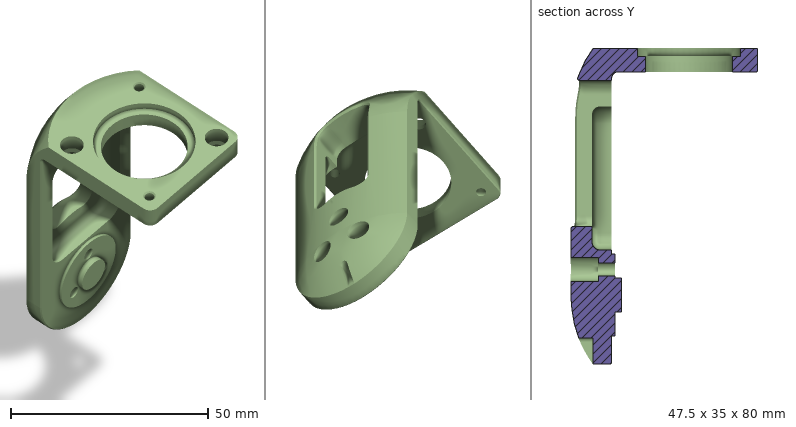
import cadquery as cq
import math


WIDTH = 35.0
HEIGHT = 80.0
HALF_WIDTH = WIDTH / 2
DOME_RADIUS = 30.0
LOWER_CENTER_Z = HALF_WIDTH
UPPER_CENTER_Z = HEIGHT - HALF_WIDTH

WALL_INNER_X = -19.5
FLANGE_THICKNESS = 6.0
FLANGE_BOTTOM_Z = HEIGHT - FLANGE_THICKNESS
FLANGE_CORNER_RADIUS = 2.5
INNER_BEND_RADIUS = 1.5
INNER_EDGE_CHAMFER = 0.3

BORE_DIAMETER = 22.0
BEARING_SEAT_DIAMETER = 26.0
BEARING_SEAT_DEPTH = 2.0
FLANGE_SCREW_OFFSET = 13.0
TAPPED_HOLE_OFFSET = 13.25
TAPPED_HOLE_DIAMETER = 2.5
TAPPED_HOLE_CHAMFER = 0.35
CHAMFER_CONE_ANGLE = 90.0

SCREW_DIAMETER = 3.4
SCREW_HEAD_DIAMETER = 6.0
FLANGE_HEAD_DEPTH = 4.5
WALL_SCREW_DIAMETER = 3.2
WALL_SCREW_CIRCLE_RADIUS = 6.5
WALL_SCREW_COUNT = 3
WALL_HEAD_SEAT_X = -23.0

PAD_DIAMETER = 21.0
PAD_HEIGHT = 0.8
SPIGOT_DIAMETER = 8.8
SPIGOT_HEIGHT = 1.7

WINDOW_WIDTH = 16.0
WINDOW_BOTTOM_RADIUS = 17.5
WINDOW_TOP_RADIUS = 54.3
WINDOW_CORNER_RADIUS = 3.0
WINDOW_CHAMFER = 0.6
SELECTION_MARGIN = 1.0

POCKET_WIDTH = 26.0
POCKET_BOTTOM_Z = 29.0
POCKET_TOP_Z = 65.2
POCKET_FLOOR_X = -24.5
POCKET_CORNER_RADIUS = 4.0
POCKET_FLOOR_FILLET = 2.0

NOTCH_WIDTH = 2.0
NOTCH_TOP_Z = 6.6
NOTCH_FLOOR_X = -math.sqrt(DOME_RADIUS**2 - HALF_WIDTH**2)


def cylinder_x(diameter, x_start, x_end, y, z):
    """Solid cylinder along X."""
    plane = cq.Workplane("YZ", origin=(x_start, y, z))
    return plane.circle(diameter / 2).extrude(x_end - x_start)


def make_bracket():
    """Wall with a round foot and a square flange, bent at a right angle."""
    wall_depth = WALL_INNER_X + DOME_RADIUS
    wall = (
        cq.Workplane("YZ", origin=(-DOME_RADIUS, 0, 0))
        .moveTo(-HALF_WIDTH, HEIGHT)
        .lineTo(-HALF_WIDTH, LOWER_CENTER_Z)
        .threePointArc((0, 0), (HALF_WIDTH, LOWER_CENTER_Z))
        .lineTo(HALF_WIDTH, HEIGHT)
        .close()
        .extrude(wall_depth)
    )
    flange = (
        cq.Workplane("XY", origin=(0, 0, FLANGE_BOTTOM_Z))
        .moveTo((HALF_WIDTH - DOME_RADIUS) / 2, 0)
        .rect(HALF_WIDTH + DOME_RADIUS, WIDTH)
        .extrude(FLANGE_THICKNESS)
        .edges("|Z and >X")
        .fillet(FLANGE_CORNER_RADIUS)
    )
    bend_edge = cq.selectors.NearestToPointSelector((WALL_INNER_X, 0, FLANGE_BOTTOM_Z))
    bracket = wall.union(flange).edges(bend_edge).fillet(INNER_BEND_RADIUS)
    inner_face = cq.selectors.NearestToPointSelector((WALL_INNER_X, 0, HEIGHT / 2))
    return bracket.faces(inner_face).edges("|Z").chamfer(INNER_EDGE_CHAMFER)


def make_dome():
    """Upright capsule whose surface rounds the outside of the wall."""
    dome = (
        cq.Workplane("XY", origin=(0, 0, LOWER_CENTER_Z))
        .circle(DOME_RADIUS)
        .extrude(UPPER_CENTER_Z - LOWER_CENTER_Z)
    )
    ball = cq.Workplane("XY").sphere(DOME_RADIUS)
    for center_z in (LOWER_CENTER_Z, UPPER_CENTER_Z):
        dome = dome.union(ball.translate((0, 0, center_z)))
    return dome


def window_arc_z(radius, y):
    """Height of a window end arc, which is centred on the middle of the round foot."""
    return LOWER_CENTER_Z + math.sqrt(radius**2 - y**2)


def cut_window(body):
    """Opening through the wall, with arched ends and a chamfered outer rim."""
    half = WINDOW_WIDTH / 2
    bottom_z = window_arc_z(WINDOW_BOTTOM_RADIUS, half)
    top_z = window_arc_z(WINDOW_TOP_RADIUS, half)
    window = (
        cq.Workplane("YZ", origin=(-DOME_RADIUS, 0, 0))
        .moveTo(-half, bottom_z)
        .threePointArc((0, LOWER_CENTER_Z + WINDOW_BOTTOM_RADIUS), (half, bottom_z))
        .lineTo(half, top_z)
        .threePointArc((0, LOWER_CENTER_Z + WINDOW_TOP_RADIUS), (-half, top_z))
        .close()
        .extrude(WALL_INNER_X + DOME_RADIUS)
        .edges("|X")
        .fillet(WINDOW_CORNER_RADIUS)
    )
    body = body.cut(window)
    outer_edge_x = -math.sqrt(DOME_RADIUS**2 - half**2)
    search_box = cq.selectors.BoxSelector(
        (-DOME_RADIUS, -half - SELECTION_MARGIN, bottom_z - SELECTION_MARGIN),
        (outer_edge_x + SELECTION_MARGIN, half + SELECTION_MARGIN, HEIGHT),
        boundingbox=True,
    )
    return body.edges(search_box).chamfer(WINDOW_CHAMFER)


def cut_pocket(body):
    """Round-cornered recess that thins the wall behind the window."""
    middle_z = (POCKET_BOTTOM_Z + POCKET_TOP_Z) / 2
    pocket = (
        cq.Workplane("YZ", origin=(POCKET_FLOOR_X, 0, middle_z))
        .rect(POCKET_WIDTH, POCKET_TOP_Z - POCKET_BOTTOM_Z)
        .extrude(WALL_INNER_X - POCKET_FLOOR_X)
        .edges("|X")
        .fillet(POCKET_CORNER_RADIUS)
        .faces("<X")
        .edges()
        .fillet(POCKET_FLOOR_FILLET)
    )
    return body.cut(pocket)


def flange_top(body, x, y):
    """Workplane on the top of the flange, centred at the given place."""
    return body.faces(">Z").workplane(origin=(x, y, HEIGHT))


def cut_flange_holes(body):
    """Bore with a bearing seat, with screw holes on one diagonal and tapped holes on the other."""
    body = flange_top(body, 0, 0).cboreHole(
        BORE_DIAMETER, BEARING_SEAT_DIAMETER, BEARING_SEAT_DEPTH, FLANGE_THICKNESS
    )
    tapped_rim = TAPPED_HOLE_DIAMETER + 2 * TAPPED_HOLE_CHAMFER
    for side in (-1, 1):
        body = flange_top(body, side * FLANGE_SCREW_OFFSET, side * FLANGE_SCREW_OFFSET).cboreHole(
            SCREW_DIAMETER, SCREW_HEAD_DIAMETER, FLANGE_HEAD_DEPTH, FLANGE_THICKNESS
        )
        body = flange_top(body, side * TAPPED_HOLE_OFFSET, -side * TAPPED_HOLE_OFFSET).cskHole(
            TAPPED_HOLE_DIAMETER, tapped_rim, CHAMFER_CONE_ANGLE, FLANGE_THICKNESS
        )
    return body


def add_bosses(body):
    """Pad and smaller spigot on the inner face, both centred on the round foot."""
    pad_x = WALL_INNER_X + PAD_HEIGHT
    body = body.union(cylinder_x(PAD_DIAMETER, WALL_INNER_X, pad_x, 0, LOWER_CENTER_Z))
    return body.union(cylinder_x(SPIGOT_DIAMETER, pad_x, pad_x + SPIGOT_HEIGHT, 0, LOWER_CENTER_Z))


def cut_wall_screws(body):
    """Equally spaced screw holes around the bosses, the first one at the top."""
    pad_x = WALL_INNER_X + PAD_HEIGHT
    for index in range(WALL_SCREW_COUNT):
        angle = math.radians(90 + index * 360 / WALL_SCREW_COUNT)
        y = WALL_SCREW_CIRCLE_RADIUS * math.cos(angle)
        z = LOWER_CENTER_Z + WALL_SCREW_CIRCLE_RADIUS * math.sin(angle)
        body = body.cut(cylinder_x(WALL_SCREW_DIAMETER, -DOME_RADIUS, pad_x, y, z))
        body = body.cut(cylinder_x(SCREW_HEAD_DIAMETER, -DOME_RADIUS, WALL_HEAD_SEAT_X, y, z))
    return body


def cut_notch(body):
    """Round-topped groove that runs out at the foot of the wall."""
    round_z = NOTCH_TOP_Z - NOTCH_WIDTH / 2
    depth = NOTCH_FLOOR_X + DOME_RADIUS
    groove = (
        cq.Workplane("YZ", origin=(-DOME_RADIUS, 0, round_z / 2))
        .rect(NOTCH_WIDTH, round_z)
        .extrude(depth)
    )
    return body.cut(groove).cut(cylinder_x(NOTCH_WIDTH, -DOME_RADIUS, NOTCH_FLOOR_X, 0, round_z))


result = make_bracket().intersect(make_dome())
result = cut_window(result)
result = cut_pocket(result)
result = cut_flange_holes(result)
result = add_bosses(result)
result = cut_wall_screws(result)
result = cut_notch(result)